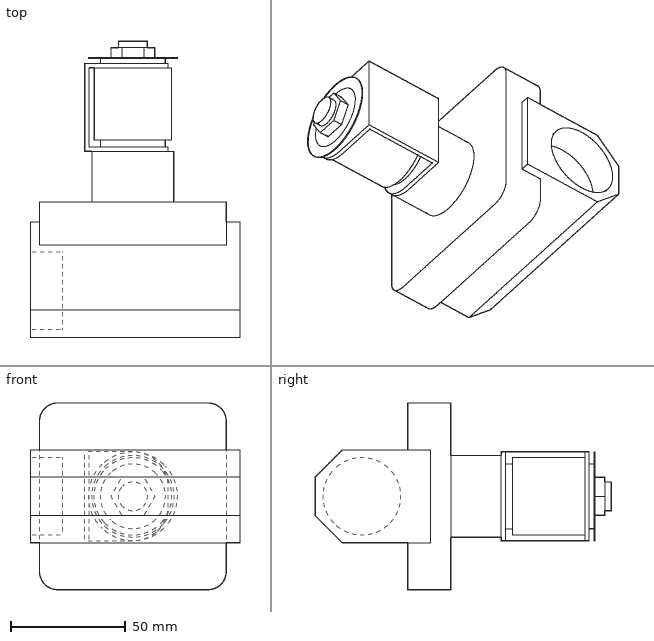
import cadquery as cq

block_length = 92.0
block_offset_x = 1.0
block_depth = 50.7
block_height = 40.8
block_chamfer = 12.0
bore_diameter = 34.0
bore_center_y = 20.5
bore_depth = 14.0
flange_side = 82.0
flange_front_y = 40.5
flange_back_y = 59.5
flange_corner_radius = 8.0
neck_diameter = 36.0
neck_end_y = 81.5

bracket_length = 38.6
bracket_thickness = 2.0
bracket_height = 39.1
bracket_outer_x = -21.2
bracket_tip_x = 15.5
coil_diameter = 34.0
collar_diameter = 28.5
lower_collar_length = 3.0
washer_diameter = 39.0
washer_thickness = 0.4
washer_front_y = 122.3
nut_across_corners = 19.4
nut_end_y = 127.0
stem_diameter = 12.7
stem_end_y = 129.9

bracket_end_y = neck_end_y + bracket_length
coil_front_y = neck_end_y + bracket_thickness + lower_collar_length
coil_end_y = bracket_end_y - bracket_thickness
washer_end_y = washer_front_y + washer_thickness


def plane_at(y):
    """XZ sketch plane at the given Y, with its normal along +Y."""
    return cq.Workplane(cq.Plane(origin=(0, y, 0), xDir=(1, 0, 0), normal=(0, 1, 0)))


def cylinder(diameter, start_y, end_y):
    """Cylinder on the solenoid axis."""
    return plane_at(start_y).circle(diameter / 2).extrude(end_y - start_y)


def make_block():
    """Long block with both front edges chamfered and a blind bore in its -X end."""
    left_x = block_offset_x - block_length / 2
    block = (
        cq.Workplane("YZ", origin=(left_x, 0, 0))
        .rect(block_depth, block_height)
        .extrude(block_length)
        .translate((0, block_depth / 2, 0))
        .edges("<Y and |X")
        .chamfer(block_chamfer)
    )
    bore = (
        cq.Workplane("YZ", origin=(left_x, bore_center_y, 0))
        .circle(bore_diameter / 2)
        .extrude(bore_depth)
    )
    return block.cut(bore)


def make_flange():
    """Square plate with rounded corners."""
    return (
        plane_at(flange_front_y)
        .rect(flange_side, flange_side)
        .extrude(flange_back_y - flange_front_y)
        .edges("|Y")
        .fillet(flange_corner_radius)
    )


def make_valve_body():
    """Block, flange and neck as one solid."""
    neck = cylinder(neck_diameter, flange_back_y, neck_end_y)
    return make_block().union(make_flange()).union(neck)


def make_bracket_arm(start_y):
    """Bracket arm whose two free corners are rounded, each round starting level with the axis."""
    arm_length = bracket_tip_x - bracket_outer_x
    return (
        plane_at(start_y)
        .center(bracket_outer_x + arm_length / 2, 0)
        .rect(arm_length, bracket_height)
        .extrude(bracket_thickness)
        .edges("|Y and >X")
        .fillet(bracket_tip_x)
    )


def make_bracket():
    """U-shaped bracket: a flat web joining two arms."""
    web = (
        cq.Workplane("XY", origin=(bracket_outer_x, neck_end_y, 0))
        .box(bracket_thickness, bracket_length, bracket_height, centered=(False, False, True))
    )
    return web.union(make_bracket_arm(neck_end_y)).union(make_bracket_arm(coil_end_y))


def make_nut():
    """Hexagonal nut with two corners on the X axis."""
    return plane_at(washer_end_y).polygon(6, nut_across_corners).extrude(nut_end_y - washer_end_y)


def make_solenoid():
    """Bracket, coil, collars, washer, nut and stem as one solid."""
    round_sections = [
        (collar_diameter, neck_end_y + bracket_thickness, coil_front_y),
        (coil_diameter, coil_front_y, coil_end_y),
        (collar_diameter, bracket_end_y, washer_front_y),
        (washer_diameter, washer_front_y, washer_end_y),
        (stem_diameter, nut_end_y, stem_end_y),
    ]
    solenoid = make_bracket()
    for diameter, start_y, end_y in round_sections:
        solenoid = solenoid.union(cylinder(diameter, start_y, end_y))
    return solenoid.union(make_nut())


valve_body = make_valve_body()
solenoid = make_solenoid()

result = cq.Compound.makeCompound([valve_body.solids().val(), solenoid.solids().val()])